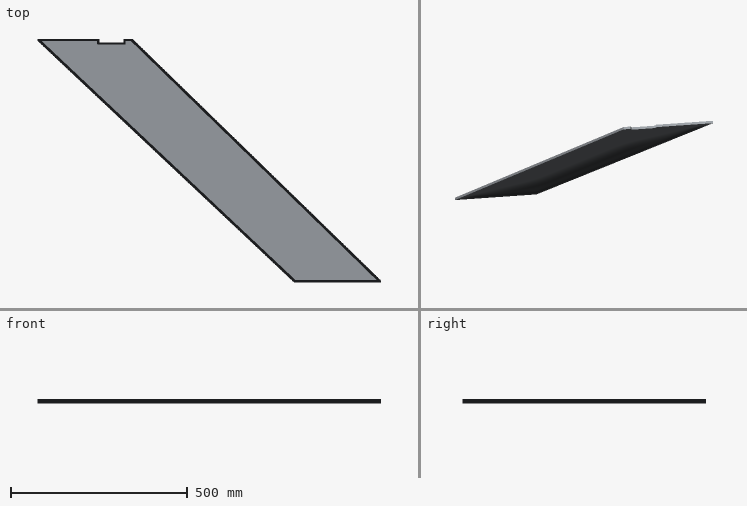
import cadquery as cq

length_x = 968.33
width_y = 684.38
thickness = 7.0

back_edge = 264.7
front_edge = 241.5

notch_offset = 170.0
notch_width = 74.0
notch_depth = 10.0


def make_plate():
    """Four-sided plate whose slanted sides run from back-left to front-right."""
    corners = [
        (0, width_y),
        (back_edge, width_y),
        (length_x, 0),
        (length_x - front_edge, 0),
    ]
    return cq.Workplane("XY").polyline(corners).close().extrude(thickness)


def make_notch():
    """Block removed from the back edge through the full thickness."""
    return (
        cq.Workplane("XY")
        .box(notch_width, notch_depth, thickness, centered=False)
        .translate((notch_offset, width_y - notch_depth, 0))
    )


result = make_plate().cut(make_notch())